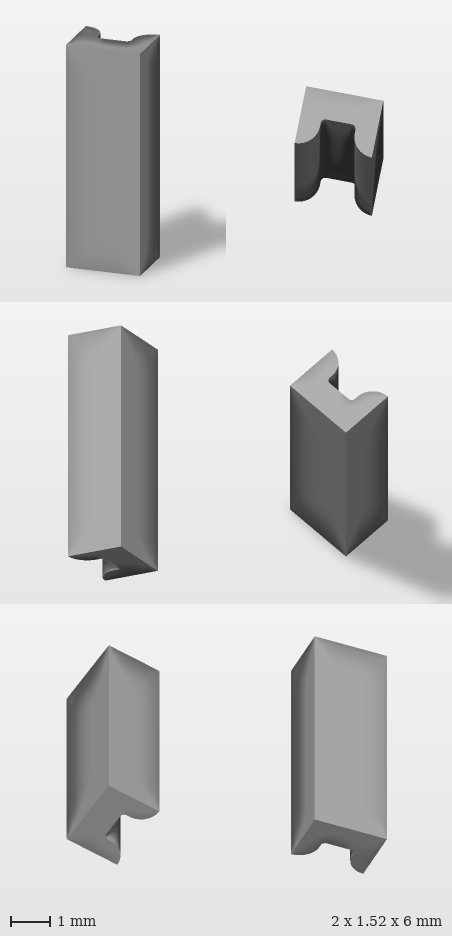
import cadquery as cq

width = 2.0
depth = 1.52
length = 6

channel_width = 0.9
floor_thickness = 0.76
floor_fillet = 0.12

half_width = width / 2
half_channel = channel_width / 2
lip_radius = half_width - half_channel
lip_base = depth - lip_radius

section = (
    cq.Workplane("XY")
    .moveTo(-half_width, 0)
    .lineTo(half_width, 0)
    .lineTo(half_width, depth)
    .radiusArc((half_channel, lip_base), -lip_radius)
    .lineTo(half_channel, floor_thickness + floor_fillet)
    .radiusArc((half_channel - floor_fillet, floor_thickness), floor_fillet)
    .lineTo(-half_channel + floor_fillet, floor_thickness)
    .radiusArc((-half_channel, floor_thickness + floor_fillet), floor_fillet)
    .lineTo(-half_channel, lip_base)
    .radiusArc((-half_width, depth), -lip_radius)
    .close()
)

result = section.extrude(length)